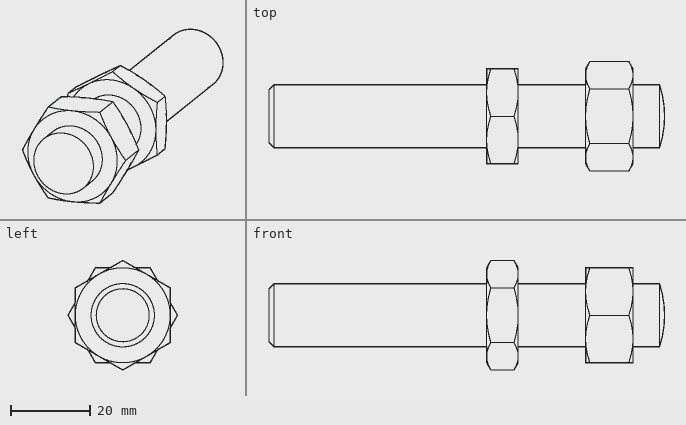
import cadquery as cq
import math

rod_length = 100.0
rod_radius = 8.0
rod_chamfer = 1.3
dome_height = 1.3

across_flats = 24.0
across_corners = across_flats / math.cos(math.radians(30))
nut_chamfer_angle = 30.0
lock_nut_start = 55.0
lock_nut_thickness = 8.0
end_nut_start = 80.0
end_nut_thickness = 12.0


def make_rod():
    """Revolve the half outline of the rod about the X axis."""
    dome_start = rod_length - dome_height
    dome_radius = (rod_radius**2 + dome_height**2) / (2 * dome_height)
    dome_center = rod_length - dome_radius
    half_angle = math.asin(rod_radius / dome_radius) / 2
    dome_middle = (
        dome_center + dome_radius * math.cos(half_angle),
        dome_radius * math.sin(half_angle),
    )
    return (
        cq.Workplane("XY")
        .lineTo(0, rod_radius - rod_chamfer)
        .lineTo(rod_chamfer, rod_radius)
        .lineTo(dome_start, rod_radius)
        .threePointArc(dome_middle, (rod_length, 0))
        .close()
        .revolve(360, (0, 0), (1, 0))
    )


def make_nut(start, thickness, turn):
    """Hex nut with both faces chamfered; at zero turn two corners point along Y."""
    hexagon = (
        cq.Workplane("YZ", origin=(start, 0, 0))
        .polygon(6, across_corners)
        .extrude(thickness)
        .rotate((0, 0, 0), (1, 0, 0), turn)
    )
    face_radius = across_flats / 2
    corner_radius = across_corners / 2
    setback = (corner_radius - face_radius) * math.tan(math.radians(nut_chamfer_angle))
    end = start + thickness
    envelope = (
        cq.Workplane("XY")
        .moveTo(start, 0)
        .lineTo(start, face_radius)
        .lineTo(start + setback, corner_radius)
        .lineTo(end - setback, corner_radius)
        .lineTo(end, face_radius)
        .lineTo(end, 0)
        .close()
        .revolve(360, (0, 0), (1, 0))
    )
    return hexagon.intersect(envelope)


lock_nut = make_nut(lock_nut_start, lock_nut_thickness, turn=90)
end_nut = make_nut(end_nut_start, end_nut_thickness, turn=0)

result = make_rod().union(lock_nut).union(end_nut)